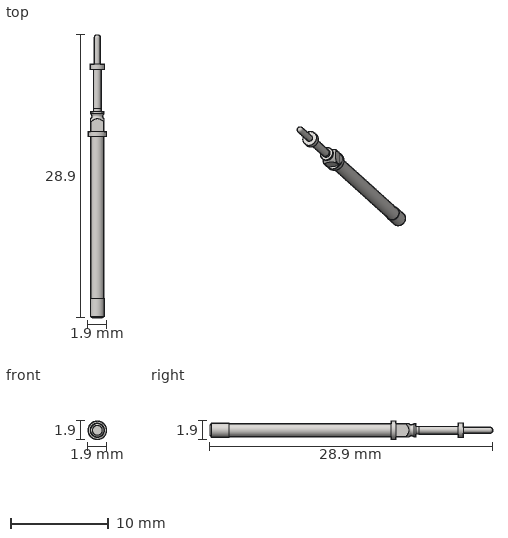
import cadquery as cq

overall_length = 28.9
tip_end_y = overall_length / 2

tip_diameter = 0.64
nose_radius = 0.29

disc_start = 3.0
disc_length = 0.55
disc_diameter = 1.5

shaft_diameter = 0.82
neck_diameter = 0.8
neck_start = 7.55

ring_start = 7.85
ring_length = 0.2
ring_diameter = 1.35
ring_cone_length = 0.15
groove_length = 0.34
groove_diameter = 1.2
groove_sag = 0.07

flange_start = 9.9
flange_length = 0.5
flange_diameter = 1.9

square_start = ring_start + ring_length + ring_cone_length + groove_length
square_across_flats = 1.4
square_corner_diameter = flange_diameter
square_cone_diameter = ring_diameter
square_cone_length = 0.32

barrel_diameter = 1.35
cap_start = 26.95
cap_diameter = 1.45
cap_face_diameter = 1.0
cap_bevel_length = 0.15


def cone_section(start, end, start_diameter, end_diameter):
    """Turned section between two stations, from start_diameter to end_diameter."""
    start_y = tip_end_y - start
    end_y = tip_end_y - end
    return (
        cq.Workplane("XY")
        .moveTo(0, start_y)
        .lineTo(start_diameter / 2, start_y)
        .lineTo(end_diameter / 2, end_y)
        .lineTo(0, end_y)
        .close()
        .revolve(360, (0, 0, 0), (0, 1, 0))
    )


def cylinder_section(start, end, diameter):
    """Straight turned section between two stations."""
    return cone_section(start, end, diameter, diameter)


def rounded_tip():
    """Slim tip with its free end rounded over."""
    return cylinder_section(0, disc_start, tip_diameter).faces(">Y").edges().fillet(nose_radius)


def hollow_groove(start, end):
    """Groove that flares from groove_diameter to the square section along a hollow arc."""
    start_y = tip_end_y - start
    end_y = tip_end_y - end
    mid_radius = (groove_diameter + square_cone_diameter) / 4 - groove_sag
    return (
        cq.Workplane("XY")
        .moveTo(0, start_y)
        .lineTo(groove_diameter / 2, start_y)
        .threePointArc((mid_radius, (start_y + end_y) / 2), (square_cone_diameter / 2, end_y))
        .lineTo(0, end_y)
        .close()
        .revolve(360, (0, 0, 0), (0, 1, 0))
    )


def square_section():
    """Coned and turned blank trimmed to four flats facing +-X and +-Z."""
    cone_end = square_start + square_cone_length
    cone = cone_section(square_start, cone_end, square_cone_diameter, square_corner_diameter)
    blank = cone.union(cylinder_section(cone_end, flange_start, square_corner_diameter))
    length = flange_start - square_start
    flats = cq.Workplane("XY").box(square_across_flats, length, square_across_flats)
    return blank.intersect(flats.translate((0, tip_end_y - square_start - length / 2, 0)))


disc_end = disc_start + disc_length
ring_end = ring_start + ring_length
ring_cone_end = ring_end + ring_cone_length
flange_end = flange_start + flange_length
cap_bevel_start = overall_length - cap_bevel_length

sections = [
    rounded_tip(),
    cylinder_section(disc_start, disc_end, disc_diameter),
    cylinder_section(disc_end, neck_start, shaft_diameter),
    cylinder_section(neck_start, ring_start, neck_diameter),
    cylinder_section(ring_start, ring_end, ring_diameter),
    cone_section(ring_end, ring_cone_end, ring_diameter, groove_diameter),
    hollow_groove(ring_cone_end, square_start),
    square_section(),
    cylinder_section(flange_start, flange_end, flange_diameter),
    cylinder_section(flange_end, cap_start, barrel_diameter),
    cylinder_section(cap_start, cap_bevel_start, cap_diameter),
    cone_section(cap_bevel_start, overall_length, cap_diameter, cap_face_diameter),
]

result = sections[0]
for section in sections[1:]:
    result = result.union(section)